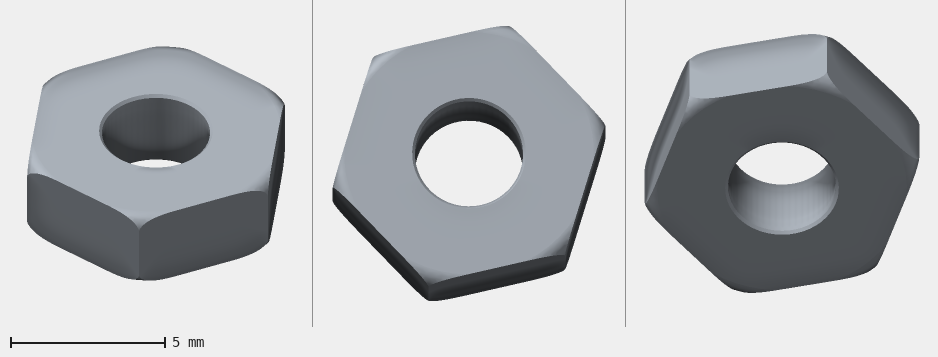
import cadquery as cq
import math

across_corners = 9.09
across_flats = across_corners * math.cos(math.radians(30))
height = 2.79

corner_radius = 0.49

bore_diameter = 3.51
countersink = 0.09


def hexagonal_prism():
    """Hexagon centred on the Z axis, flats facing +X and -X."""
    outline = cq.Workplane("XY").polygon(6, across_corners)
    return outline.extrude(height).rotate((0, 0, 0), (0, 0, 1), 90)


def rounded_envelope():
    """Disc through the hexagon corners, with both rims rounded."""
    disc = cq.Workplane("XY").circle(across_corners / 2).extrude(height)
    return disc.edges("%CIRCLE").fillet(corner_radius)


def countersunk_bore():
    """Cutter for the through bore, flared at both faces."""
    bore_radius = bore_diameter / 2
    mouth_radius = bore_radius + countersink
    profile = [
        (0, 0),
        (mouth_radius, 0),
        (bore_radius, countersink),
        (bore_radius, height - countersink),
        (mouth_radius, height),
        (0, height),
    ]
    return cq.Workplane("XZ").polyline(profile).close().revolve(360, (0, 0), (0, 1))


blank = hexagonal_prism().intersect(rounded_envelope())
body = blank.cut(countersunk_bore())

result = body.translate((0, 0, -height / 2))